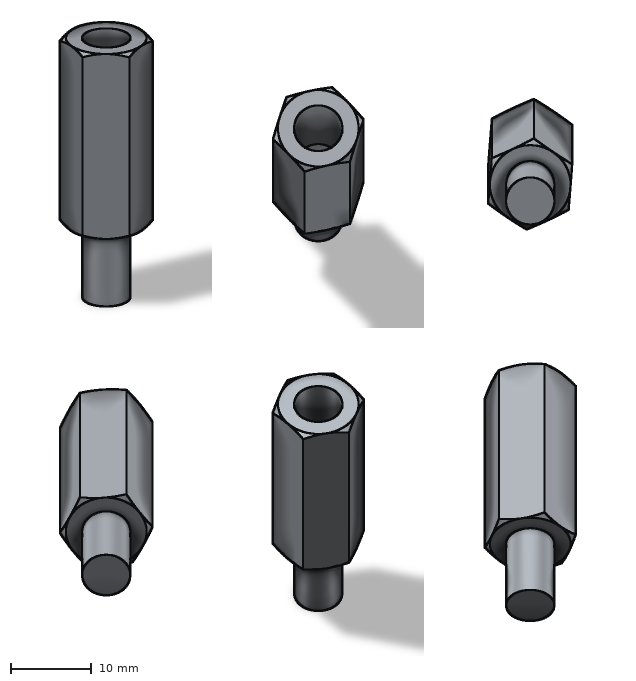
import cadquery as cq
import math

total_height = 35.0
across_flats = 10.0
stud_length = 10.0
thread_diameter = 6.0
bore_depth = 15.0
corner_bevel_angle = 30.0

hex_height = total_height - stud_length
across_corners = across_flats / math.cos(math.radians(30))
corner_radius = across_corners / 2
flat_radius = across_flats / 2
bevel_drop = (corner_radius - flat_radius) * math.tan(math.radians(corner_bevel_angle))


def bevel_envelope():
    """Round solid with conical ends that trims the corners of the hexagon."""
    profile = [
        (0, stud_length),
        (flat_radius, stud_length),
        (corner_radius, stud_length + bevel_drop),
        (corner_radius, total_height - bevel_drop),
        (flat_radius, total_height),
        (0, total_height),
    ]
    return cq.Workplane("XZ").polyline(profile).close().revolve(360, (0, 0), (0, 1))


def make_hex_sleeve():
    """Hexagonal spacer, flats facing X, with beveled corners and a blind bore."""
    prism = (
        cq.Workplane("XY", origin=(0, 0, stud_length))
        .transformed(rotate=(0, 0, 30))
        .polygon(6, across_corners)
        .extrude(hex_height)
    )
    bore = (
        cq.Workplane("XY", origin=(0, 0, total_height))
        .circle(thread_diameter / 2)
        .extrude(-bore_depth)
    )
    return prism.intersect(bevel_envelope()).cut(bore)


def make_stud():
    """Round stud that butts against the underside of the sleeve."""
    return cq.Workplane("XY").circle(thread_diameter / 2).extrude(stud_length)


hex_sleeve = make_hex_sleeve()
stud = make_stud()

result = cq.Compound.makeCompound([hex_sleeve.val(), stud.val()])